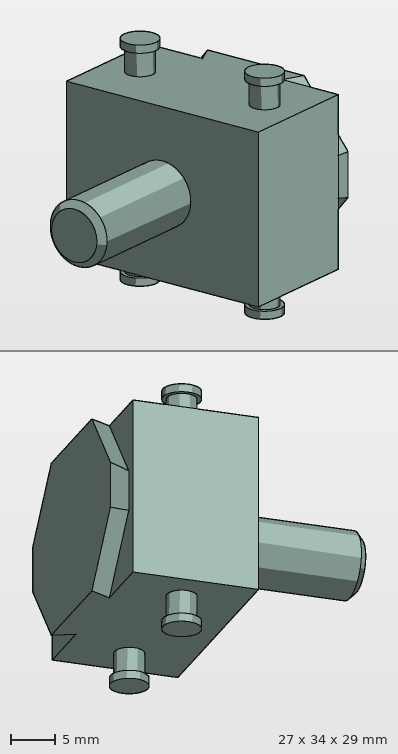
import cadquery as cq

body_width = 27.0
body_depth = 15.0
body_height = 21.0

shaft_diameter = 8.0
shaft_chamfer = 0.8

plate_thickness = 2.5
plate_back_half_width = 13.0
plate_back_half_side = 2.75
plate_front_half_width = 12.07
plate_front_half_side = 2.4
corner_slope = 1.25

overall_depth = 34
overall_height = 29.0
shaft_length = overall_depth - body_depth - plate_thickness

pin_spacing = 17.5
pin_diameter = 3.5
pin_length = (overall_height - body_height) / 2
head_diameter = 4.5
head_thickness = 1.0


def octagon(half_width, half_side):
    """Corners of a symmetric octagon as tall as the block."""
    half_height = body_height / 2
    half_top = half_width - (half_height - half_side) / corner_slope
    return [
        (half_top, half_height),
        (half_width, half_side),
        (half_width, -half_side),
        (half_top, -half_height),
        (-half_top, -half_height),
        (-half_width, -half_side),
        (-half_width, half_side),
        (-half_top, half_height),
    ]


def make_plate():
    """Plate that widens away from the block."""
    front = octagon(plate_front_half_width, plate_front_half_side)
    back = octagon(plate_back_half_width, plate_back_half_side)
    return (
        cq.Workplane("XZ", origin=(0, body_depth / 2, 0))
        .polyline(front).close()
        .workplane(offset=-plate_thickness)
        .polyline(back).close()
        .loft(ruled=True)
    )


def make_shaft():
    """Shaft pointing toward -Y with a chamfered free end."""
    return (
        cq.Workplane("XZ", origin=(0, -body_depth / 2, 0))
        .circle(shaft_diameter / 2)
        .extrude(shaft_length)
        .faces("<Y").chamfer(shaft_chamfer)
    )


def make_top_pins():
    """Pair of pins on the top face, each with a wider flat head."""
    centres = [(-pin_spacing / 2, 0), (pin_spacing / 2, 0)]
    stems = (
        cq.Workplane("XY", origin=(0, 0, body_height / 2))
        .pushPoints(centres).circle(pin_diameter / 2).extrude(pin_length)
    )
    head_base = body_height / 2 + pin_length - head_thickness
    heads = (
        cq.Workplane("XY", origin=(0, 0, head_base))
        .pushPoints(centres).circle(head_diameter / 2).extrude(head_thickness)
    )
    return stems.union(heads)


top_pins = make_top_pins()
result = (
    cq.Workplane("XY")
    .box(body_width, body_depth, body_height)
    .union(make_plate())
    .union(make_shaft())
    .union(top_pins)
    .union(top_pins.mirror("XY"))
)